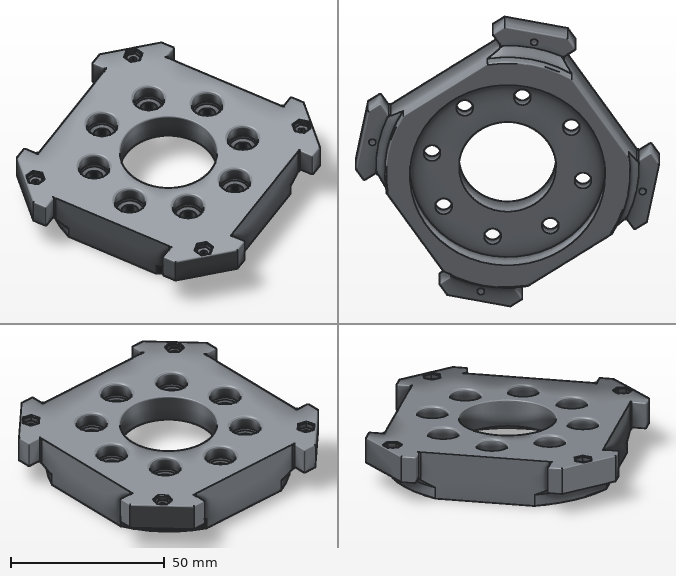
import cadquery as cq
import math

overall = 83.0
height = 16.0
core_side = 72.55
edge_round = 0.5

tab_height = 9.05
tab_inner = 21.8
tab_outer = 26.7
notch_round = 0.5

skirt_radius = 39.8
skirt_height = 4.1
neck_radius = 44.0

bore_diameter = 31.5
recess_diameter = 63.5
recess_depth = height - tab_height

bolt_count = 8
bolt_circle_radius = 25.0
bolt_diameter = 5.5
counterbore_diameter = 10.0
counterbore_depth = 5.0
counterbore_rim_round = 1.0
counterbore_floor_bevel = 0.5

nut_offset = 31.6
nut_flats = 4.65
nut_depth = 2.0
nut_rim_bevel = 0.4
nut_hole_diameter = 2.2
nut_turn = 15

tab_count = 4
half = overall / 2
core_half = core_side / 2


def turned(piece, count, index):
    """The piece turned about Z to place number index out of count equal places."""
    return piece.rotate((0, 0, 0), (0, 0, 1), 360 / count * index)


def revolved(profile):
    """Solid of revolution about Z from an XZ profile."""
    return profile.close().revolve(360, (0, 0, 0), (0, 1, 0))


def make_core():
    """Square block with rounded lower edges and turned corners, plus the notch rounds."""
    neck_z = skirt_height - height + neck_radius - skirt_radius
    envelope = revolved(
        cq.Workplane("XZ")
        .moveTo(0, -height)
        .lineTo(skirt_radius, -height)
        .lineTo(skirt_radius, skirt_height - height)
        .lineTo(neck_radius, neck_z)
        .lineTo(neck_radius, 0)
        .lineTo(0, 0)
    )
    block = cq.Workplane("XY").rect(core_side, core_side).extrude(-height)
    core = block.intersect(envelope).faces("<Z").edges().fillet(edge_round)

    notch = make_notch_round()
    mirrored_notch = turned(notch.mirror("XZ"), tab_count, 1)
    for index in range(tab_count):
        for piece in (notch, mirrored_notch):
            core = core.union(turned(piece, tab_count, index).intersect(envelope))
    return core


def make_notch_round():
    """Concave round between the +Y side of the core and the +X +Y tab."""
    return (
        cq.Workplane("XY")
        .moveTo(tab_inner, core_half)
        .lineTo(tab_inner, core_half + notch_round)
        .radiusArc((tab_inner - notch_round, core_half), -notch_round)
        .close()
        .extrude(-height + skirt_height)
    )


def make_tab():
    """Clipped +X +Y corner tab with rounded rims and rounded notch corners."""
    tab = (
        cq.Workplane("XY")
        .moveTo(tab_inner, tab_inner)
        .lineTo(tab_inner, half)
        .lineTo(tab_outer, half)
        .lineTo(half, tab_outer)
        .lineTo(half, tab_inner)
        .close()
        .extrude(-tab_height)
    )
    for corner in ((tab_inner, half), (half, tab_inner)):
        tab = tab.edges(cq.NearestToPointSelector((*corner, -tab_height / 2))).fillet(edge_round)
    return tab.faces("<Z or >Z").edges().fillet(edge_round)


def make_bore_cutter():
    """Through bore with a rounded rim that opens into the recess below."""
    radius = bore_diameter / 2
    recess_radius = recess_diameter / 2
    return revolved(
        cq.Workplane("XZ")
        .moveTo(0, 0)
        .lineTo(radius + edge_round, 0)
        .radiusArc((radius, -edge_round), -edge_round)
        .lineTo(radius, recess_depth - height)
        .lineTo(recess_radius, recess_depth - height)
        .lineTo(recess_radius, -height)
        .lineTo(0, -height)
    )


def make_bolt_cutter():
    """Through hole and counterbore with a rounded rim and a bevelled floor."""
    radius = counterbore_diameter / 2
    bolt_radius = bolt_diameter / 2
    return revolved(
        cq.Workplane("XZ")
        .moveTo(0, 0)
        .lineTo(radius + counterbore_rim_round, 0)
        .radiusArc((radius, -counterbore_rim_round), -counterbore_rim_round)
        .lineTo(radius, counterbore_floor_bevel - counterbore_depth)
        .lineTo(radius - counterbore_floor_bevel, -counterbore_depth)
        .lineTo(bolt_radius, -counterbore_depth)
        .lineTo(bolt_radius, -height)
        .lineTo(0, -height)
    )


def make_nut_cutter():
    """Hexagonal pocket with a flared rim and a through hole."""
    corners_per_flats = 1 / math.cos(math.pi / 6)
    rim_flats = nut_flats + 2 * nut_rim_bevel
    pocket = cq.Workplane("XY").polygon(6, nut_flats * corners_per_flats).extrude(-nut_depth)
    flare = (
        cq.Workplane("XY")
        .polygon(6, rim_flats * corners_per_flats)
        .extrude(-nut_rim_bevel, taper=45)
    )
    hole = cq.Workplane("XY").circle(nut_hole_diameter / 2).extrude(-height)
    return pocket.union(flare).union(hole).rotate((0, 0, 0), (0, 0, 1), nut_turn)


body = make_core()

tab = make_tab()
for index in range(tab_count):
    body = body.union(turned(tab, tab_count, index))

body = body.cut(make_bore_cutter())

bolt_cutter = make_bolt_cutter().translate((bolt_circle_radius, 0, 0))
for index in range(bolt_count):
    body = body.cut(turned(bolt_cutter, bolt_count, index))

nut_cutter = make_nut_cutter().translate((nut_offset, nut_offset, 0))
for index in range(tab_count):
    body = body.cut(turned(nut_cutter, tab_count, index))

result = body